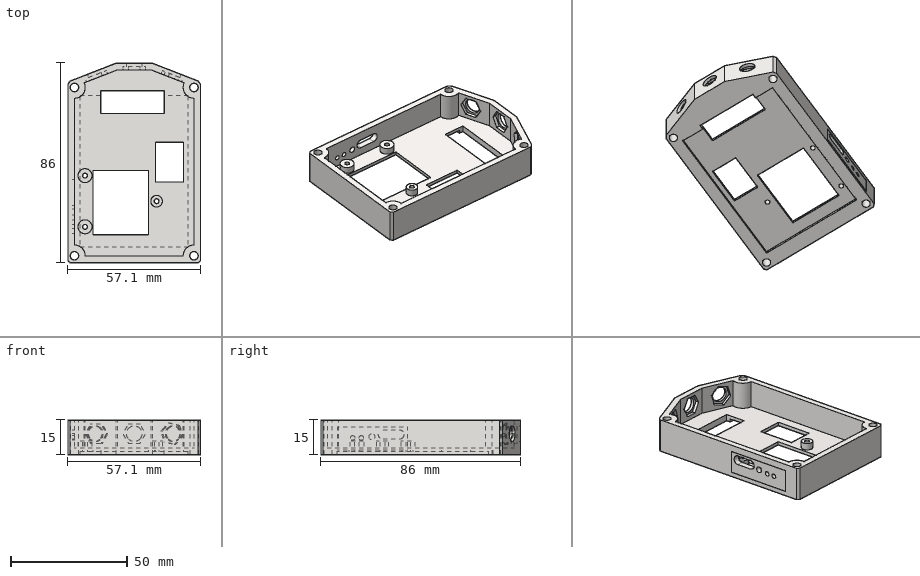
import cadquery as cq
import math

WIDTH = 57.1
LENGTH = 86.0
HEIGHT = 15.0
WALL = 2.9
FLOOR = 3.0
NOSE_WIDTH = 15.6
SHOULDER_Y = 77.9
CORNER_CHAMFER = 1.0

PILLAR_RADIUS = 4.65
SCREW_DIAMETER = 3.5
SCREW_X = 25.7
SCREW_Y = (3.1, 75.5)

WINDOWS = [
    (-14.4, 12.9, 64.4, 74.1),
    (9.2, 21.2, 34.9, 51.95),
    (-17.7, 6.1, 12.2, 39.7),
]

RECESS_WIDTH = 46.45
RECESS_Y = (6.9, 72.1)
RECESS_DEPTH = 1.5

STANDOFFS = [
    (-21.2, 37.6, 6.0),
    (-21.2, 15.6, 6.0),
    (9.6, 26.6, 5.0),
]
STANDOFF_HEIGHT = 3.0
STANDOFF_BORE = 2.0

SOCKET_DIAMETER = 6.7
SOCKET_Z = 9.1
NUT_ACROSS_FLATS = 8.4
NUT_DEPTH = 1.5
RIGHT_NUT_TILT = 13.0
SLOPE_SOCKET_X = 17.0

PANEL_Y = (7.1, 37.25)
PANEL_Z = (2.1, 11.95)
PANEL_DEPTH = 0.1
SLOT_Y = 30.3
SLOT_Z = 8.8
SLOT_LENGTH = 11.1
SLOT_HEIGHT = 4.0
SIDE_HOLES = [
    (22.0, 7.8, 2.6),
    (17.5, 7.3, 2.0),
    (13.8, 7.3, 2.0),
]

SLOPE_ANGLE = math.atan2(LENGTH - SHOULDER_Y, (WIDTH - NOSE_WIDTH) / 2)


def outline():
    """Closed house-shaped outline of the shell."""
    side = WIDTH / 2
    nose = NOSE_WIDTH / 2
    return cq.Workplane("XY").polyline([
        (-side, 0),
        (side, 0),
        (side, SHOULDER_Y),
        (nose, LENGTH),
        (-nose, LENGTH),
        (-side, SHOULDER_Y),
    ]).close()


def box_between(x_range, y_range, z_range):
    """Box given by its lower and upper limits on each axis."""
    spans = [high - low for low, high in (x_range, y_range, z_range)]
    corner = (x_range[0], y_range[0], z_range[0])
    return cq.Workplane("XY").box(*spans, centered=False).translate(corner)


def shell():
    """Open tray with chamfered outer corners and four corner pillars."""
    body = outline().extrude(HEIGHT)
    body = body.edges("|Z").edges("<X or >X").chamfer(CORNER_CHAMFER)

    cavity = outline().offset2D(-WALL, "intersection").extrude(HEIGHT).translate((0, 0, FLOOR))
    screw_points = [(x, y) for x in (-SCREW_X, SCREW_X) for y in SCREW_Y]
    screws = cq.Workplane("XY").pushPoints(screw_points)
    cavity = cavity.cut(screws.circle(PILLAR_RADIUS).extrude(HEIGHT))
    return body.cut(cavity).cut(screws.circle(SCREW_DIAMETER / 2).extrude(HEIGHT))


def add_standoffs(body):
    for x, y, diameter in STANDOFFS:
        center = cq.Workplane("XY").center(x, y)
        top = FLOOR + STANDOFF_HEIGHT
        post = center.circle(diameter / 2).extrude(STANDOFF_HEIGHT).translate((0, 0, FLOOR))
        body = body.union(post).cut(center.circle(STANDOFF_BORE / 2).extrude(top))
    return body


def cut_floor(body):
    """Windows through the floor and the recess under them."""
    for x_min, x_max, y_min, y_max in WINDOWS:
        body = body.cut(box_between((x_min, x_max), (y_min, y_max), (0, FLOOR)))
    recess_x = (-RECESS_WIDTH / 2, RECESS_WIDTH / 2)
    return body.cut(box_between(recess_x, RECESS_Y, (0, RECESS_DEPTH)))


def socket(x, y, turn, nut_tilt=0):
    """Cutter through a rear wall, starting on its outer face at (x, y)."""
    face = cq.Workplane("XZ")
    hole = face.circle(SOCKET_DIAMETER / 2).extrude(WALL)
    corner_diameter = NUT_ACROSS_FLATS / math.cos(math.pi / 6)
    seat = face.workplane(offset=WALL - NUT_DEPTH).polygon(6, corner_diameter).extrude(NUT_DEPTH)
    seat = seat.rotate((0, 0, 0), (0, 1, 0), nut_tilt)
    cutter = hole.union(seat)
    return cutter.rotate((0, 0, 0), (0, 0, 1), turn).translate((x, y, SOCKET_Z))


def cut_sockets(body):
    slope_y = LENGTH - (SLOPE_SOCKET_X - NOSE_WIDTH / 2) * math.tan(SLOPE_ANGLE)
    turn = math.degrees(SLOPE_ANGLE)
    body = body.cut(socket(0, LENGTH, 0))
    body = body.cut(socket(SLOPE_SOCKET_X, slope_y, -turn, RIGHT_NUT_TILT))
    return body.cut(socket(-SLOPE_SOCKET_X, slope_y, turn))


def cut_side_panel(body):
    """Shallow panel on the -X side with a slot and round holes through the wall."""
    outer_x = -WIDTH / 2
    body = body.cut(box_between((outer_x, outer_x + PANEL_DEPTH), PANEL_Y, PANEL_Z))
    side = cq.Workplane("YZ", origin=(outer_x, 0, 0))
    body = body.cut(side.center(SLOT_Y, SLOT_Z).slot2D(SLOT_LENGTH, SLOT_HEIGHT).extrude(WALL))
    for y, z, diameter in SIDE_HOLES:
        body = body.cut(side.center(y, z).circle(diameter / 2).extrude(WALL))
    return body


result = cut_side_panel(cut_sockets(cut_floor(add_standoffs(shell()))))